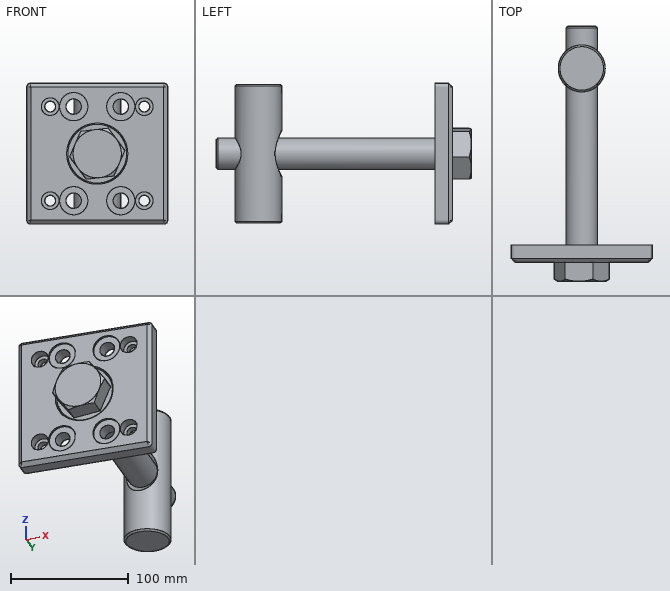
import cadquery as cq
import math


plate_side = 120.0
plate_thickness = 15.0
plate_edge = 3.5
plate_bore_diameter = 28.0
washer_seat_diameter = 52.0
washer_seat_depth = 5.0
hole_row_height = 40.0
large_hole_x = 20.0
large_hole_diameter = 13.0
large_recess_diameter = 24.0
large_recess_depth = 2.0
small_hole_x = 40.0
small_hole_diameter = 9.0
small_recess_diameter = 15.0
small_recess_depth = 9.0

washer_diameter = 50.0
washer_bore_diameter = 28.0
washer_thickness = 4.0

bolt_diameter = 27.0
bolt_length = 200.0
bolt_tip_diameter = 23.75
bolt_tip_chamfer = (bolt_diameter - bolt_tip_diameter) / 2
head_height = 17.0
head_across_flats = 41.0
head_turn = 6.6
head_chamfer_angle = 30.0
head_underside_y = washer_seat_depth - washer_thickness
head_end_y = head_underside_y - head_height

bar_diameter = 40.0
bar_length = 118.0
bar_chamfer = 1.5
bar_y = 165.0


def along_y(start_y):
    """Workplane on the bolt axis at start_y, extruding toward +Y."""
    return cq.Workplane("XZ", origin=(0, start_y, 0))


def cylinder_along_y(diameter, start_y, end_y):
    return along_y(start_y).circle(diameter / 2).extrude(start_y - end_y)


def drill_four(body, x, diameter, recess_diameter, recess_depth):
    """Cut a mirrored set of four recessed through holes, entered from the outer face."""
    through = cylinder_along_y(diameter, 0, plate_thickness)
    recess = cylinder_along_y(recess_diameter, 0, recess_depth)
    cutter = through.union(recess)
    for x_sign in (-1, 1):
        for z_sign in (-1, 1):
            body = body.cut(cutter.translate((x_sign * x, 0, z_sign * hole_row_height)))
    return body


def round_plate_corners(body):
    """Swap each square corner for a round post whose outer end is a cone that carries on the chamfer."""
    corner_centre = (plate_side - plate_edge) / 2
    post_centre = plate_side / 2 - plate_edge
    square_corner = (
        cq.Workplane("XY")
        .box(plate_edge, plate_thickness, plate_edge)
        .translate((0, plate_thickness / 2, 0))
    )
    round_post = (
        cq.Workplane("XY")
        .polyline([(0, 0), (plate_edge, plate_edge), (plate_edge, plate_thickness), (0, plate_thickness)])
        .close()
        .revolve(360, (0, 0, 0), (0, 1, 0))
    )
    for x_sign in (-1, 1):
        for z_sign in (-1, 1):
            body = body.cut(square_corner.translate((x_sign * corner_centre, 0, z_sign * corner_centre)))
            body = body.union(round_post.translate((x_sign * post_centre, 0, z_sign * post_centre)))
    return body


def make_plate():
    body = (
        cq.Workplane("XY")
        .box(plate_side, plate_thickness, plate_side)
        .translate((0, plate_thickness / 2, 0))
        .faces("<Y")
        .chamfer(plate_edge)
    )
    body = round_plate_corners(body)
    body = body.cut(cylinder_along_y(plate_bore_diameter, 0, plate_thickness))
    body = body.cut(cylinder_along_y(washer_seat_diameter, 0, washer_seat_depth))
    body = drill_four(body, large_hole_x, large_hole_diameter, large_recess_diameter, large_recess_depth)
    return drill_four(body, small_hole_x, small_hole_diameter, small_recess_diameter, small_recess_depth)


def make_washer():
    ring = cylinder_along_y(washer_diameter, head_underside_y, washer_seat_depth)
    return ring.cut(cylinder_along_y(washer_bore_diameter, head_underside_y, washer_seat_depth))


def make_bolt():
    corner_diameter = head_across_flats / math.cos(math.radians(30))
    head = (
        along_y(head_end_y)
        .transformed(rotate=(0, 0, head_turn))
        .polygon(6, corner_diameter)
        .extrude(-head_height)
    )
    corner_overhang = (corner_diameter - head_across_flats) / 2
    corner_drop = corner_overhang * math.tan(math.radians(head_chamfer_angle))
    trimmed_blank = (
        cylinder_along_y(corner_diameter, head_end_y, head_underside_y)
        .faces("<Y")
        .chamfer(corner_drop, corner_overhang)
    )
    head = head.intersect(trimmed_blank)
    shank = (
        cylinder_along_y(bolt_diameter, head_underside_y, head_underside_y + bolt_length)
        .faces(">Y")
        .chamfer(bolt_tip_chamfer)
    )
    return head.union(shank)


def make_cross_bar():
    bar_radius = bar_diameter / 2
    bar = (
        cq.Workplane("XY", origin=(0, bar_y, -bar_length / 2))
        .circle(bar_radius)
        .extrude(bar_length)
        .faces("<Z or >Z")
        .chamfer(bar_chamfer)
    )
    bore = cylinder_along_y(bolt_diameter, bar_y - bar_radius, bar_y + bar_radius)
    entry = (
        cq.Workplane("XY", origin=(0, bar_y, 0))
        .polyline([(0, 0), (0, -bar_radius), (bar_radius, -bar_radius)])
        .close()
        .revolve(360, (0, 0, 0), (0, 1, 0))
    )
    return bar.cut(bore).cut(entry)


plate = make_plate()
washer = make_washer()
bolt = make_bolt()
cross_bar = make_cross_bar()

result = cq.Compound.makeCompound([plate.val(), washer.val(), bolt.val(), cross_bar.val()])